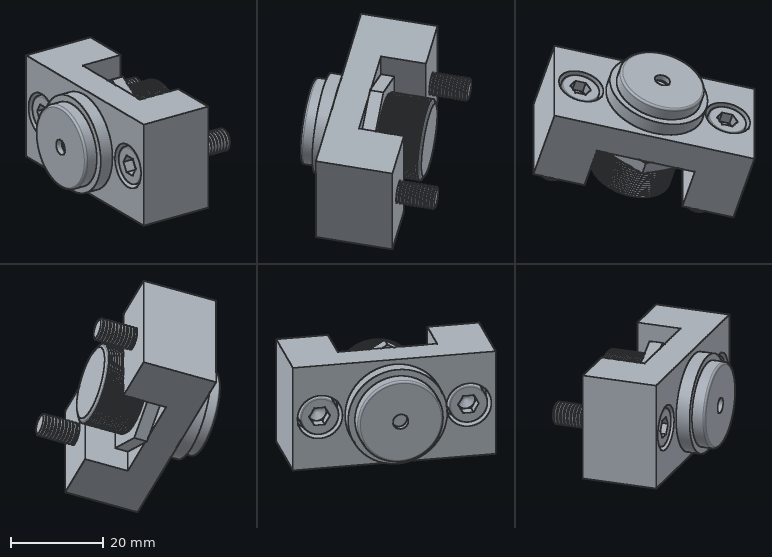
import cadquery as cq
import math


block_length = 45.0
block_depth = 17.0
block_height = 24.0
groove_width = 22.0
groove_depth = 10.0
groove_floor_y = block_depth - groove_depth

corners_per_flats = 2 / math.sqrt(3)

crest_fraction = 1 / 8

screw_spacing = 33.0
screw_positions = (-screw_spacing / 2, screw_spacing / 2)
screw_diameter = 5.0
screw_pitch = 0.8
screw_thread_depth = 0.4
screw_protrusion = 8.4
screw_ridge_count = int(screw_protrusion / screw_pitch)
screw_thread_start_y = block_depth + screw_protrusion - screw_ridge_count * screw_pitch
screw_root_diameter = screw_diameter - 2 * screw_thread_depth
head_diameter = 8.5
head_height = 5.0
head_edge_radius = 0.2
head_recess = 0.4
head_seat_y = head_recess + head_height
counterbore_diameter = 10.0
socket_across_flats = 4.0
socket_across_corners = socket_across_flats * corners_per_flats
socket_depth = 2.5
socket_cone_slope = 30.0
socket_cone_height = socket_across_flats / 2 * math.tan(math.radians(socket_cone_slope))

nut_thickness = 3.0
nut_turn = 30.0
nut_across_corners = groove_width * corners_per_flats
nut_back_y = groove_floor_y + nut_thickness

flange_gap = 0.28
flange_diameter = 22.0
flange_thickness = 3.1
flange_front_y = -flange_gap - flange_thickness
cap_diameter = 19.0
cap_thickness = 3.0
cap_front_y = flange_front_y - cap_thickness
cap_edge_radius = 0.5
cap_hole_diameter = 3.4
cap_hole_depth = 1.45
neck_diameter = 16.6

flare_depth = 0.8
flare_angle = 40.0
insert_diameter = cap_hole_diameter + 2 * flare_depth * math.tan(math.radians(flare_angle))
flare_start_y = cap_front_y + cap_hole_depth
insert_front_y = flare_start_y + flare_depth
insert_back_y = flange_front_y

stud_diameter = 18.0
stud_pitch = 0.6
stud_thread_depth = 0.4
core_diameter = stud_diameter - 2 * stud_thread_depth
stud_ridge_count = 16
stud_tip_diameter = 16.0
stud_tip_height = 0.35
stud_plain_length = 0.25
stud_thread_start_y = nut_back_y + stud_plain_length
stud_tip_start_y = stud_thread_start_y + stud_ridge_count * stud_pitch


def cylinder(diameter, start_y, end_y, x=0.0):
    """Cylinder along Y from start_y to end_y."""
    plane = cq.Workplane("XZ", origin=(x, start_y, 0))
    return plane.circle(diameter / 2).extrude(start_y - end_y)


def hexagon(across_corners, start_y, end_y, turn=0.0):
    """Hexagonal prism along Y with two corners on X, then turned about its axis in degrees."""
    plane = cq.Workplane("XZ", origin=(0, start_y, 0)).transformed(rotate=(0, 0, turn))
    return plane.polygon(6, across_corners).extrude(start_y - end_y)


def truncated_cone(start_diameter, end_diameter, start_y, height):
    """Cone along Y that starts at start_y and runs toward the back."""
    start = cq.Vector(0, start_y, 0)
    along_y = cq.Vector(0, 1, 0)
    return cq.Workplane(cq.Solid.makeCone(start_diameter / 2, end_diameter / 2, height, start, along_y))


def ridged_rod(diameter, ridge_depth, pitch, start_y, ridge_count):
    """Thread modelled as closed, flat-topped ridges that follow each other from start_y on."""
    crest = diameter / 2
    root = crest - ridge_depth
    crest_width = pitch * crest_fraction
    outline = [(0, start_y), (root, start_y)]
    for ridge in range(ridge_count):
        ridge_y = start_y + ridge * pitch
        outline.append((crest, ridge_y + (pitch - crest_width) / 2))
        outline.append((crest, ridge_y + (pitch + crest_width) / 2))
        outline.append((root, ridge_y + pitch))
    outline.append((0, start_y + ridge_count * pitch))
    return cq.Workplane("XY").polyline(outline).close().revolve(360, (0, 0, 0), (0, 1, 0))


def make_block():
    block = cq.Workplane("XY").box(block_length, block_depth, block_height)
    block = block.translate((0, block_depth / 2, 0))
    groove = cq.Workplane("XY").box(groove_width, groove_depth, block_height)
    block = block.cut(groove.translate((0, groove_floor_y + groove_depth / 2, 0)))
    block = block.cut(cylinder(core_diameter, 0, groove_floor_y))
    for x in screw_positions:
        block = block.cut(cylinder(counterbore_diameter, 0, head_seat_y, x))
        block = block.cut(cylinder(screw_diameter, 0, block_depth, x))
    return block


def make_screw(x):
    head = cylinder(head_diameter, head_recess, head_seat_y)
    head = head.faces("<Y").edges().fillet(head_edge_radius)
    shank = cylinder(screw_diameter, head_seat_y, block_depth)
    neck = cylinder(screw_root_diameter, block_depth, screw_thread_start_y)
    thread = ridged_rod(
        screw_diameter, screw_thread_depth, screw_pitch, screw_thread_start_y, screw_ridge_count
    )
    screw = head.union(shank).union(neck).union(thread)
    socket_floor_y = head_recess + socket_depth
    socket = hexagon(socket_across_corners, head_recess, socket_floor_y)
    cone = truncated_cone(socket_across_flats, 0, socket_floor_y, socket_cone_height)
    return screw.cut(socket).cut(cone).translate((x, 0, 0))


def make_nut():
    nut = hexagon(nut_across_corners, groove_floor_y, nut_back_y, turn=nut_turn)
    return nut.cut(cylinder(core_diameter, groove_floor_y, nut_back_y))


def make_flange_ring():
    ring = cylinder(flange_diameter, flange_front_y, -flange_gap)
    return ring.cut(cylinder(neck_diameter, flange_front_y, -flange_gap))


def make_stud():
    cap = cylinder(cap_diameter, cap_front_y, flange_front_y)
    cap = cap.faces("<Y").edges().fillet(cap_edge_radius)
    neck = cylinder(neck_diameter, flange_front_y, 0)
    core = cylinder(core_diameter, 0, stud_thread_start_y)
    thread = ridged_rod(stud_diameter, stud_thread_depth, stud_pitch, stud_thread_start_y, stud_ridge_count)
    tip = truncated_cone(core_diameter, stud_tip_diameter, stud_tip_start_y, stud_tip_height)
    hole = cylinder(cap_hole_diameter, cap_front_y, flare_start_y)
    flare = truncated_cone(cap_hole_diameter, insert_diameter, flare_start_y, flare_depth)
    stud = cap.union(neck).union(core).union(thread).union(tip)
    return stud.cut(hole).cut(flare).cut(make_insert())


def make_insert():
    return cylinder(insert_diameter, insert_front_y, insert_back_y)


block = make_block()
screws = [make_screw(x) for x in screw_positions]
nut = make_nut()
flange_ring = make_flange_ring()
stud = make_stud()
insert = make_insert()

result = cq.Compound.makeCompound(
    [
        block.val(),
        *[screw.val() for screw in screws],
        nut.val(),
        flange_ring.val(),
        stud.val(),
        insert.val(),
    ]
)